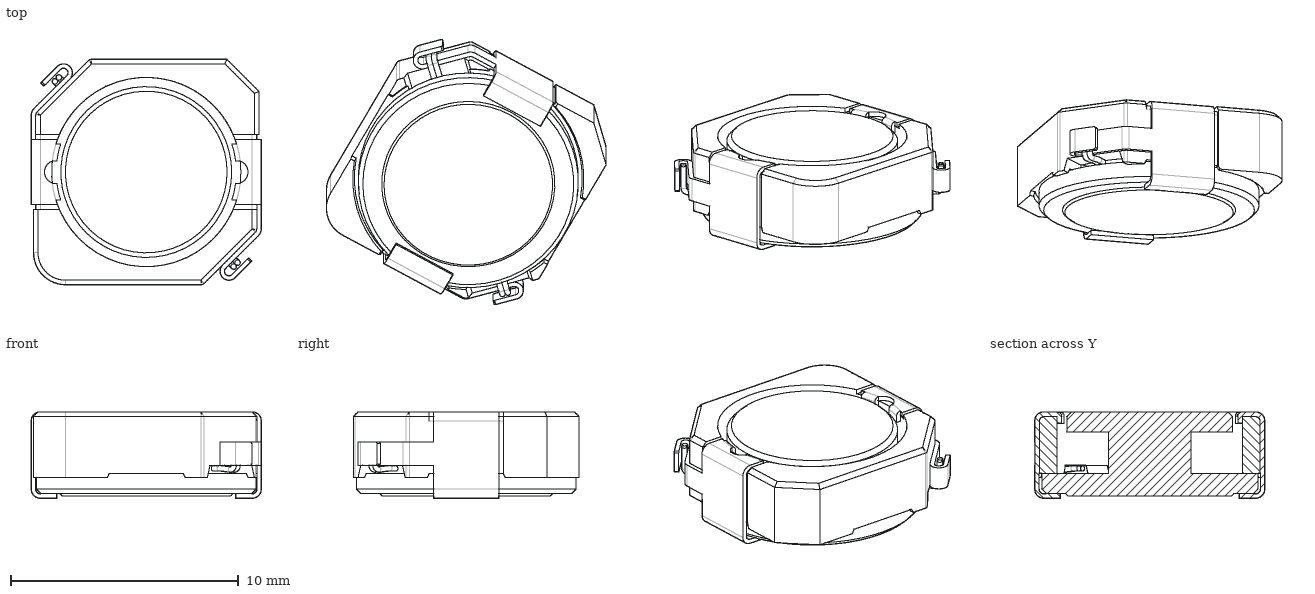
import cadquery as cq
import math


length_x = 10.1
width_y = 9.9
height = 3.8
sheet = 0.2
outer_bend = 0.4
inner_bend = outer_bend - sheet

flange_radius = 4.83
flange_bottom = sheet
flange_top = 1.09
flange_chamfer = 0.2
pedestal_radius = 3.8
pedestal_bottom = 0.1
core_radius = 2.02
drum_radius = 3.75
drum_chamfer = 0.2

ring_half = width_y / 2
seat_half = length_x / 2 - sheet
ring_bottom = 0.91
ring_bore_radius = 4.15
flange_seat_radius_bottom = 5.07
flange_seat_radius_top = 5.0
ring_chamfer = 0.2
round_corner_radius = 1.41
cut_corner_leg = 1.41
bevel_distance = 5.25
bevel_edge_radius = inner_bend
side_notch_half_bottom = 1.72
side_notch_half_top = 1.62
terminal_seat_half = 1.64

terminal_half_width = 1.43
foot_length = 1.13
tab_inner_y = 0.49
tab_outer_y = 1.23
tab_height = 0.5
plate_notch_radius = 0.5
plate_notch_x = 3.96
arm_bottom = 1.44
arm_top = 2.47
hook_gap = 0.38
hook_center_along = 0.52
hook_leg = 1.03
hook_end_chamfer = 0.07
hook_center_out = bevel_distance + sheet + hook_gap / 2

lead_notch_half_bottom = 1.46
lead_notch_half_top = 1.29
lead_notch_top = arm_bottom

wire_radius = 0.12
wire_places = (0.22, 0.22 - 2 * wire_radius)
wire_bend_radius = 0.2
wire_bend_level = 1.26
wire_level = 1.31
wire_rise_end = 4.75
wire_inner_end = 4.38

root2 = math.sqrt(2)
margin = 0.1


def bevel_point(along, out):
    """XY point given along the (-X, +Y) bevel and outwards from the drum axis."""
    return ((along - out) / root2, (along + out) / root2)


def half_turn(body):
    """Copy of a body on the opposite side of the drum axis."""
    return body.rotate((0, 0, 0), (0, 0, 1), 180)


def span(x_range, y_range, z_range):
    """Box between the given limits."""
    return cq.Workplane("XY").box(
        x_range[1] - x_range[0], y_range[1] - y_range[0], z_range[1] - z_range[0], centered=False
    ).translate((x_range[0], y_range[0], z_range[0]))


def make_drum():
    pedestal_chamfer = flange_bottom - pedestal_bottom
    upper_flange_bottom = height - (flange_top - flange_bottom)
    profile = [
        (0, pedestal_bottom),
        (pedestal_radius - pedestal_chamfer, pedestal_bottom),
        (pedestal_radius, flange_bottom),
        (flange_radius - flange_chamfer, flange_bottom),
        (flange_radius, flange_bottom + flange_chamfer),
        (flange_radius, flange_top),
        (core_radius, flange_top),
        (core_radius, upper_flange_bottom),
        (drum_radius, upper_flange_bottom),
        (drum_radius, height - drum_chamfer),
        (drum_radius - drum_chamfer, height),
        (0, height),
    ]
    return cq.Workplane("XZ").polyline(profile).close().revolve(360, (0, 0, 0), (0, 1, 0))


def ring_block(half_x):
    """Solid seven-sided block with its rounded and bevelled corners and the top chamfer."""
    bevel_sum = bevel_distance * root2
    cut_sum = 2 * ring_half - cut_corner_leg
    outline = [
        (-half_x, -ring_half),
        (bevel_sum - ring_half, -ring_half),
        (half_x, half_x - bevel_sum),
        (half_x, cut_sum - half_x),
        (cut_sum - ring_half, ring_half),
        (ring_half - bevel_sum, ring_half),
        (-half_x, bevel_sum - half_x),
    ]
    block = cq.Workplane("XY", origin=(0, 0, ring_bottom)).polyline(outline).close()
    block = block.extrude(height - ring_bottom)
    block = block.edges("|Z").edges("<(1,1,0)").fillet(round_corner_radius)
    for side in (-1, 1):
        corner_region = cq.selectors.BoxSelector(
            (0, 0, 0), (side * length_x, -side * length_x, length_x)
        )
        block = block.edges("|Z").edges(corner_region).fillet(bevel_edge_radius)
    return block.faces(">Z").edges().chamfer(ring_chamfer)


def trapezoid_notch(half_bottom, half_top, top, reach):
    """Cutter running from the drum axis along -X, narrowing from the ring bottom up to its roof."""
    slope = (half_bottom - half_top) / (top - ring_bottom)
    half_start = half_bottom + slope * margin
    outline = [
        (-half_start, ring_bottom - margin),
        (half_start, ring_bottom - margin),
        (half_top, top),
        (-half_top, top),
    ]
    return cq.Workplane("YZ").polyline(outline).close().extrude(-reach)


def terminal_seat():
    """Cutter for the rounded recess under the top plate of the -X terminal."""
    floor = height - sheet
    return (
        cq.Workplane("XZ", origin=(0, terminal_seat_half, 0))
        .moveTo(0, floor)
        .lineTo(-seat_half + inner_bend, floor)
        .radiusArc((-seat_half, floor - inner_bend), -inner_bend)
        .lineTo(-length_x, floor - inner_bend)
        .lineTo(-length_x, height + margin)
        .lineTo(0, height + margin)
        .close()
        .extrude(2 * terminal_seat_half)
    )


def make_ring():
    ring = ring_block(seat_half)
    wide_block = ring_block(ring_half)
    wide_side = span((-length_x, 0), (-length_x, -terminal_seat_half), (0, length_x))
    ring = ring.union(wide_block.intersect(wide_side))
    ring = ring.union(wide_block.intersect(half_turn(wide_side)))

    bore = cq.Workplane("XY").circle(ring_bore_radius).extrude(height + margin)
    flange_seat = cq.Workplane(cq.Solid.makeCone(
        flange_seat_radius_bottom, flange_seat_radius_top, flange_top - ring_bottom,
        cq.Vector(0, 0, ring_bottom)
    ))
    ring = ring.cut(bore).cut(flange_seat)

    side_notch = trapezoid_notch(side_notch_half_bottom, side_notch_half_top, flange_top, length_x)
    for turn in (0, 90, 180, 270):
        ring = ring.cut(side_notch.rotate((0, 0, 0), (0, 0, 1), turn))

    lead_notch = trapezoid_notch(lead_notch_half_bottom, lead_notch_half_top, lead_notch_top, length_x)
    lead_notch = lead_notch.rotate((0, 0, 0), (0, 0, 1), -45)
    for cutter in (lead_notch, terminal_seat()):
        ring = ring.cut(cutter).cut(half_turn(cutter))
    return ring


def terminal_clip():
    """C-shaped strip: top plate, outer wall and foot."""
    half_x = length_x / 2
    y_range = (-terminal_half_width, terminal_half_width)
    outside = span((-half_x, -drum_radius), y_range, (0, height))
    outside = outside.edges("|Y and <X").fillet(outer_bend)
    inside = span((-seat_half, 0), y_range, (sheet, height - sheet))
    inside = inside.edges("|Y and <X").fillet(inner_bend)
    foot_tip = span((-half_x + foot_length, 0), y_range, (0, sheet))
    clip = outside.cut(inside).cut(foot_tip)

    plate_level = cq.Workplane("XY", origin=(0, 0, height - sheet))
    bore = plate_level.circle(ring_bore_radius).extrude(sheet)
    plate_notch = plate_level.center(-plate_notch_x, 0).circle(plate_notch_radius).extrude(sheet)
    return clip.cut(bore).cut(plate_notch)


def terminal_tabs():
    """Two tabs that curl down from the top plate into the ring bore."""
    inner_radius = ring_bore_radius - sheet
    collar = (
        cq.Workplane("XZ")
        .moveTo(ring_bore_radius, height)
        .radiusArc((inner_radius, height - sheet), -sheet)
        .lineTo(inner_radius, height - tab_height)
        .lineTo(ring_bore_radius, height - tab_height)
        .close()
        .revolve(360, (0, 0, 0), (0, 1, 0))
    )
    upper = span((-length_x, 0), (tab_inner_y, tab_outer_y), (0, height))
    return collar.intersect(upper.union(upper.mirror("XZ")))


def terminal_arm():
    """Side arm that follows the bevelled corner and ends in a hook around the wires."""
    bend_x = -length_x / 2 + outer_bend
    bend_y = bend_x + (bevel_distance - inner_bend) * root2

    def bend_point(radius, degrees):
        angle = math.radians(degrees)
        return (bend_x + radius * math.cos(angle), bend_y + radius * math.sin(angle))

    gap_radius = hook_gap / 2
    hook_radius = gap_radius + sheet
    hook_end = hook_center_along - hook_leg

    def hook_point(along, out):
        return bevel_point(along, hook_center_out + out)

    outline = (
        cq.Workplane("XY", origin=(0, 0, arm_bottom))
        .moveTo(-length_x / 2, 0)
        .lineTo(*bend_point(outer_bend, 180))
        .threePointArc(bend_point(outer_bend, 157.5), bend_point(outer_bend, 135))
        .lineTo(*hook_point(hook_center_along, -gap_radius))
        .threePointArc(
            hook_point(hook_center_along + gap_radius, 0),
            hook_point(hook_center_along, gap_radius),
        )
        .lineTo(*hook_point(hook_end, gap_radius))
        .lineTo(*hook_point(hook_end, hook_radius))
        .lineTo(*hook_point(hook_center_along, hook_radius))
        .threePointArc(
            hook_point(hook_center_along + hook_radius, 0),
            hook_point(hook_center_along, -hook_radius),
        )
        .lineTo(*bend_point(inner_bend, 135))
        .threePointArc(bend_point(inner_bend, 157.5), bend_point(inner_bend, 180))
        .lineTo(-seat_half, 0)
        .close()
    )
    arm = outline.extrude(arm_top - arm_bottom)
    end_middle = hook_point(hook_end, gap_radius + sheet / 2)
    for level in (arm_bottom, arm_top):
        end_edge = cq.NearestToPointSelector((*end_middle, level))
        arm = arm.edges(end_edge).chamfer(hook_end_chamfer)
    return arm


def make_terminal():
    return terminal_clip().union(terminal_tabs()).union(terminal_arm())


def make_wire(along):
    """Wire end standing in the hook, then bent inwards and up through the lead notch."""
    top_x, top_y = bevel_point(along, hook_center_out)
    bend = wire_bend_radius
    bend_mid = bend * (1 - 1 / root2)
    plane = cq.Plane(origin=(top_x, top_y, 0), xDir=(1, -1, 0), normal=(-1, -1, 0))
    path = (
        cq.Workplane(plane)
        .moveTo(0, arm_top)
        .lineTo(0, wire_bend_level + bend)
        .threePointArc((bend_mid, wire_bend_level + bend_mid), (bend, wire_bend_level))
        .spline(
            [(hook_center_out - wire_rise_end, wire_level)],
            tangents=[(1, 0), (1, 0)], includeCurrent=True,
        )
        .lineTo(hook_center_out - wire_inner_end, wire_level)
    )
    section = cq.Workplane("XY", origin=(top_x, top_y, arm_top)).circle(wire_radius)
    return section.sweep(path)


drum = make_drum()
ring = make_ring()

terminal = make_terminal()
terminals = [terminal, half_turn(terminal)]

wires = []
for place in wire_places:
    wire = make_wire(place)
    wires += [wire, half_turn(wire)]

bodies = [drum, ring] + terminals + wires
result = cq.Compound.makeCompound([body.solids().val() for body in bodies])